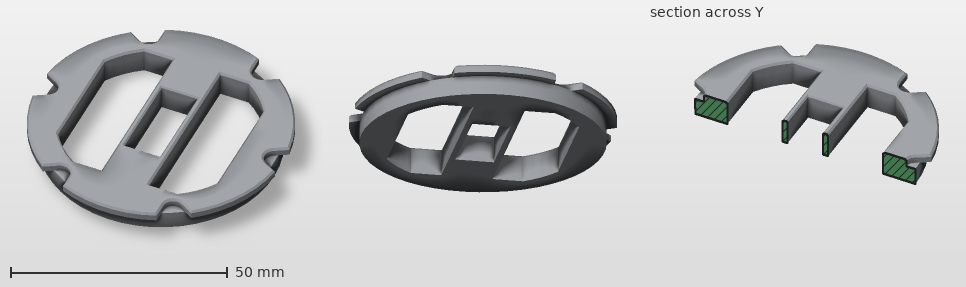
import cadquery as cq
import math

flange_diameter = 61.8
flange_thickness = 2.0
body_diameter = 57.0
body_height = 4.5
total_height = flange_thickness + body_height
edge_chamfer = 0.5

notch_count = 6
notch_angle = 60.0
notch_tip_radius = 2.5
notch_tip_center = 28.7
notch_twist = -0.3

window_span = 40.1
window_corner_diameter = 48.0
bar_width = 12.0

slot_width = 9.0
slot_length = 21.0
slot_chamfer = 0.4


def cylinder(diameter, bottom, height):
    return cq.Workplane("XY").workplane(offset=bottom).circle(diameter / 2).extrude(height)


def notch_cutter():
    """V notch on the +X side: straight flanks tangent to a round tip."""
    half_angle = math.radians(notch_angle / 2)
    tangent_x = notch_tip_center - notch_tip_radius * math.sin(half_angle)
    tangent_y = notch_tip_radius * math.cos(half_angle)
    mouth_x = flange_diameter / 2 + notch_tip_radius
    mouth_y = tangent_y + (mouth_x - tangent_x) * math.tan(half_angle)
    return (
        cq.Workplane("XY")
        .workplane(offset=body_height)
        .moveTo(mouth_x, -mouth_y)
        .lineTo(tangent_x, -tangent_y)
        .threePointArc((notch_tip_center - notch_tip_radius, 0), (tangent_x, tangent_y))
        .lineTo(mouth_x, mouth_y)
        .close()
        .extrude(flange_thickness)
    )


def notched_flange():
    flange = cylinder(flange_diameter, body_height, flange_thickness)
    for index in range(notch_count):
        angle = notch_twist + index * 360 / notch_count
        flange = flange.cut(notch_cutter().rotate((0, 0, 0), (0, 0, 1), angle))
    return flange


def window_cutters():
    """A square with its corners cut by a larger circle, split in two by the central bar."""
    opening = cq.Workplane("XY").rect(window_span, window_span).extrude(total_height)
    opening = opening.intersect(cylinder(window_corner_diameter, 0, total_height))
    bar = cq.Workplane("XY").rect(bar_width, window_span).extrude(total_height)
    return opening.cut(bar)


def slot_cutter():
    return cq.Workplane("XY").rect(slot_width, slot_length).extrude(total_height)


def slot_bevel():
    """Flared 45 degree mouth of the slot, tapering down from the top face into the slot."""
    return (
        cq.Workplane("XY")
        .workplane(offset=total_height)
        .rect(slot_width + 2 * slot_chamfer, slot_length + 2 * slot_chamfer)
        .extrude(-2 * slot_chamfer, taper=45)
    )


plate = notched_flange().union(cylinder(body_diameter, 0, body_height))
plate = plate.cut(window_cutters()).faces(">Z").edges().chamfer(edge_chamfer)
result = plate.cut(slot_cutter()).cut(slot_bevel())